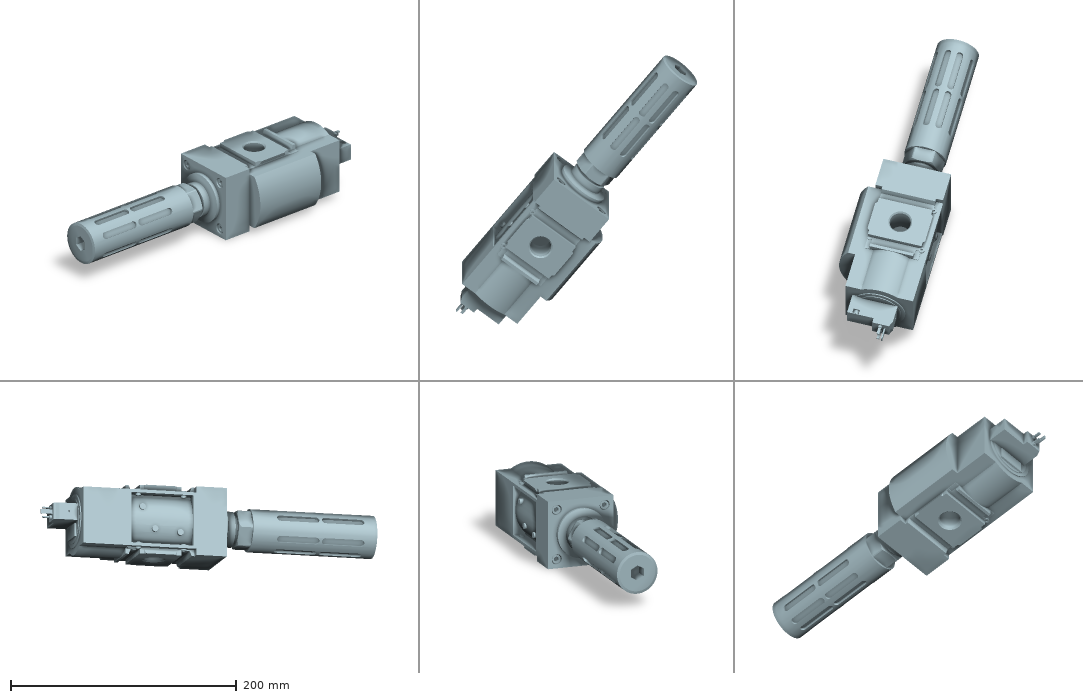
import cadquery as cq
import math


half_width = 31.0
front_plate_end = 27.7
block_end = 131.5
section_end = 98.0
side_half_height = 25.5
dome_radius = 30.5
clamp_end = 89.8

cover_flat_x = 37.5
cover_crest_x = 45.8

bed_half_width = 24.5
bed_height = 26.8
lip_top_y = 30.5
lip_root_y = 32.3
rear_lip_top_y = 87.0
rear_lip_root_y = 85.2
rear_lip_half_width = 20.0
notch_height = 26.0
notch_front = 80.5
plate_front = 39.7
plate_back = 78.0
plate_wing_half_width = 26.5
plate_wing_root_height = 27.5
plate_wing_front = 44.3
plate_wing_back = 74.0
plate_wing_corner = 1.5
port_y = 58.7
port_diameter = 18.8
port_depth = 24.5
port_chamfer = 1.2

clip_ys = (38.0, 79.5)
clip_x = -25.2
clip_diameter = 5.0
clip_top = 27.0
clip_tip = 21.2
clip_socket_diameter = 2.5
clip_socket_depth = 1.5

pocket_front = 30.5
pocket_back = 87.3
pocket_half_height = 22.8
barrel_radius = 29.0
barrel_half_height = 21.0
peg_diameter = 5.5
peg_tip_x = -29.5
peg_places = ((76.5, 10.8), (65.2, -8.5), (41.8, -10.8))

screw_offset = 22.8
screw_bore_diameter = 9.5
screw_head_diameter = 8.0
screw_socket_flats = 4.3
screw_bore_depth = 6.0
screw_head_gap = 1.0
screw_socket_depth = 3.0

collar_diameter = 45.8
collar_rim_y = -3.5
neck_radius = 16.0
neck_start_y = -5.5
neck_end_y = -12.3

plug_left = -17.2
plug_right = 24.5
plug_step_x = 0.3
plug_top_y = 154.7
plug_step_y = 150.0
plug_height = 15.0
plug_z = 5.2
plug_corner_run = 2.0
plug_corner_rise = 5.0
plug_bevel_run = 0.5
plug_bevel_rise = 1.8
plug_dimple_y = 141.0
plug_dimple_diameter = 2.0
plug_dimple_depth = 1.5
plug_window_left = 14.0
plug_window_width = 5.8
plug_window_front = 145.0
plug_window_length = 4.3
plug_window_depth = 3.7
plug_screw_diameter = 5.0
plug_screw_length = 3.5
rear_pad_radius = 24.0
rear_pad_thickness = 1.0
rear_step_radius = 20.3
rear_step_thickness = 1.5
rear_key_half_width = 12.3
rear_key_bottom = -16.0
rear_key_top = -4.3
rear_key_thickness = 3.0
earth_pin_x = -11.0
earth_pin_end = 165.5
side_pin_x = -7.0
side_pin_end = 163.0
side_pin_spacing = 8.3
pin_width = 4.0
side_pin_width = 2.5
pin_thickness = 1.2
pin_foot_diameter = 3.7
pin_foot_height = 1.8

shank_radius = 12.5
hex_start_y = -15.0
hex_flats = 32.0
hex_corner_radius = 18.0
hex_chamfer = 1.0
tube_start_y = -27.7
tube_end_y = -142.0
tube_diameter = 38.5
tube_rim_run = 0.5
tube_rim_inset = 2.5
slot_front_ys = (-130.0, -89.0)
slot_length = 38.7
slot_width = 6.0
slot_floor_radius = 16.5
slot_angles = (30, 73, 107, 150)
socket_flats = 12.3
socket_depth = 12.3


def box(x0, x1, y0, y1, z0, z1):
    """Axis-aligned block between the given limits."""
    return cq.Workplane("XY").box(x1 - x0, y1 - y0, z1 - z0, centered=False).translate((x0, y0, z0))


def rod_y(radius, y0, y1, x=0.0, z=0.0):
    """Round bar running along Y."""
    return cq.Workplane("XZ", origin=(x, y0, z)).circle(radius).extrude(y0 - y1)


def rod_x(radius, x0, x1, y, z):
    """Round bar running along X."""
    return cq.Workplane("YZ", origin=(x0, y, z)).circle(radius).extrude(x1 - x0)


def rod_z(radius, z0, z1, x, y):
    """Round bar running along Z."""
    return cq.Workplane("XY", origin=(x, y, z0)).circle(radius).extrude(z1 - z0)


def hex_bar_y(flats, y0, y1, x=0.0, z=0.0, turn=0.0):
    """Hexagonal bar running along Y; two corners lie on the Z direction before turning."""
    bar = cq.Workplane("XZ").polygon(6, flats, circumscribed=True).extrude(y0 - y1)
    return bar.rotate((0, 0, 0), (0, 1, 0), turn).translate((x, y0, z))


def turned(profile):
    """Solid of revolution about Y from (radius, y) points."""
    return cq.Workplane("XY").polyline(profile).close().revolve(360, (0, 0, 0), (0, 1, 0))


def both_sides(shape):
    """The shape together with its mirror image below the flow axis."""
    return shape.union(shape.mirror("XY"))


def make_block():
    front = box(-half_width, half_width, 0, front_plate_end, -half_width, half_width)
    rear = box(-half_width, half_width, 0, block_end, -side_half_height, side_half_height)
    dome = rod_y(dome_radius, clamp_end, block_end)
    cover = (
        cq.Workplane("XZ", origin=(0, front_plate_end, 0))
        .moveTo(0, -side_half_height)
        .lineTo(cover_flat_x, -side_half_height)
        .threePointArc((cover_crest_x, 0), (cover_flat_x, side_half_height))
        .lineTo(0, side_half_height)
        .close()
        .extrude(front_plate_end - section_end)
    )
    return front.union(rear).union(dome).union(cover)


def make_notch(side):
    """Space beside the rear lip, on the given X side."""
    notch = box(rear_lip_half_width, bed_half_width, notch_front, clamp_end, notch_height, half_width)
    return notch if side > 0 else notch.mirror("YZ")


def make_wing(side):
    """Rib along the port plate, undercut below and tapered in plan at both ends."""
    wing = (
        cq.Workplane("XZ", origin=(0, plate_wing_front, 0))
        .polyline([
            (0, plate_wing_root_height),
            (bed_half_width, plate_wing_root_height),
            (plate_wing_half_width, half_width),
            (0, half_width),
        ])
        .close()
        .extrude(plate_wing_front - plate_wing_back)
    )
    plan = (
        cq.Workplane("XY")
        .polyline([
            (0, plate_wing_front),
            (bed_half_width, plate_wing_front),
            (plate_wing_half_width, plate_wing_front + plate_wing_corner),
            (plate_wing_half_width, plate_wing_back - plate_wing_corner),
            (bed_half_width, plate_wing_back),
            (0, plate_wing_back),
        ])
        .close()
        .extrude(half_width)
    )
    wing = wing.intersect(plan)
    return wing if side > 0 else wing.mirror("YZ")


def make_clamp_bed():
    bed = (
        cq.Workplane("YZ", origin=(-bed_half_width, 0, 0))
        .polyline([
            (front_plate_end, 0),
            (front_plate_end, half_width),
            (lip_top_y, half_width),
            (lip_root_y, bed_height),
            (rear_lip_root_y, bed_height),
            (rear_lip_top_y, half_width),
            (clamp_end, half_width),
            (clamp_end, 0),
        ])
        .close()
        .extrude(2 * bed_half_width)
    )
    plate = box(-bed_half_width, bed_half_width, plate_front, plate_back, 0, half_width)
    for side in (-1, 1):
        bed = bed.cut(make_notch(side))
        plate = plate.union(make_wing(side))
    return both_sides(bed.union(plate))


def fit_clips(solid):
    socket_radius = clip_socket_diameter / 2
    for y in clip_ys:
        clip = rod_z(clip_diameter / 2, clip_tip, clip_top, clip_x, y)
        top_socket = rod_z(socket_radius, clip_top - clip_socket_depth, clip_top, clip_x, y)
        tip_socket = rod_z(socket_radius, clip_tip, clip_tip + clip_socket_depth, clip_x, y)
        solid = solid.union(both_sides(clip)).cut(both_sides(top_socket.union(tip_socket)))
    return solid


def make_ports():
    radius = port_diameter / 2
    port = (
        cq.Workplane("XY", origin=(0, port_y, half_width - port_depth)).circle(radius).extrude(port_depth)
    )
    flare = (
        cq.Workplane("XY", origin=(0, port_y, half_width - port_chamfer))
        .circle(radius)
        .workplane(offset=port_chamfer)
        .circle(radius + port_chamfer)
        .loft()
    )
    return both_sides(port.union(flare))


def make_pocket():
    barrel_edge_x = -math.sqrt(barrel_radius**2 - barrel_half_height**2)
    recess = box(
        -half_width, barrel_edge_x, pocket_front, pocket_back, -pocket_half_height, pocket_half_height
    )
    pocket = recess.cut(rod_y(barrel_radius, pocket_front, pocket_back))
    for y, z in peg_places:
        pocket = pocket.cut(rod_x(peg_diameter / 2, peg_tip_x, 0, y, z))
    return pocket


def make_screw_recesses():
    recesses = cq.Workplane("XY")
    for x in (-screw_offset, screw_offset):
        for z in (-screw_offset, screw_offset):
            bore = rod_y(screw_bore_diameter / 2, 0, screw_bore_depth, x, z)
            head = rod_y(screw_head_diameter / 2, screw_head_gap, screw_bore_depth, x, z)
            socket = hex_bar_y(
                screw_socket_flats, screw_head_gap, screw_head_gap + screw_socket_depth, x, z
            )
            recesses = recesses.union(bore.cut(head.cut(socket)))
    return recesses


def make_outlet():
    return turned([
        (0, 0),
        (collar_diameter / 2, 0),
        (collar_diameter / 2, collar_rim_y),
        (neck_radius, neck_start_y),
        (neck_radius, neck_end_y),
        (0, neck_end_y),
    ])


def make_plug():
    plug_bottom_z = plug_z - plug_height / 2
    plug_top_z = plug_z + plug_height / 2
    plug = (
        cq.Workplane("XY", origin=(0, 0, plug_bottom_z))
        .polyline([
            (plug_left, block_end),
            (plug_right, block_end),
            (plug_right, plug_step_y),
            (plug_step_x, plug_step_y),
            (plug_step_x, plug_top_y),
            (plug_left + plug_corner_run, plug_top_y),
            (plug_left + plug_corner_run - plug_bevel_run, plug_top_y - plug_bevel_rise),
            (plug_left, plug_top_y - plug_corner_rise),
        ])
        .close()
        .extrude(plug_height)
    )
    dimple = rod_x(
        plug_dimple_diameter / 2, plug_left, plug_left + plug_dimple_depth, plug_dimple_y, plug_z
    )
    window = box(
        plug_window_left, plug_window_left + plug_window_width,
        plug_window_front, plug_window_front + plug_window_length,
        plug_top_z - plug_window_depth, plug_top_z,
    )
    screw = rod_y(
        plug_screw_diameter / 2,
        plug_window_front, plug_window_front + plug_screw_length,
        plug_window_left + plug_window_width / 2, plug_top_z - plug_window_depth,
    )
    pad = rod_y(rear_pad_radius, block_end, block_end + rear_pad_thickness)
    step = rod_y(rear_step_radius, block_end, block_end + rear_step_thickness)
    key = box(
        -rear_key_half_width, rear_key_half_width,
        block_end, block_end + rear_key_thickness,
        rear_key_bottom, rear_key_top,
    )
    return plug.cut(dimple).cut(window).union(screw).union(pad).union(step).union(key)


def make_pins():
    pins = box(
        earth_pin_x - pin_thickness / 2, earth_pin_x + pin_thickness / 2,
        plug_top_y, earth_pin_end,
        plug_z - pin_width / 2, plug_z + pin_width / 2,
    )
    for z in (plug_z - side_pin_spacing / 2, plug_z + side_pin_spacing / 2):
        blade = box(
            side_pin_x - side_pin_width / 2, side_pin_x + side_pin_width / 2,
            plug_top_y, side_pin_end,
            z - pin_thickness / 2, z + pin_thickness / 2,
        )
        foot = rod_y(pin_foot_diameter / 2, plug_top_y, plug_top_y + pin_foot_height, side_pin_x, z)
        pins = pins.union(blade).union(foot)
    return pins


def make_valve():
    solid = make_block().union(make_clamp_bed()).union(make_outlet())
    solid = solid.union(make_plug()).union(make_pins())
    solid = solid.cut(make_ports()).cut(make_pocket()).cut(make_screw_recesses())
    return fit_clips(solid)


def make_tube_slot(front_y, angle):
    """Obround cutter across the tube wall, turned about Y from +X toward +Z."""
    cutter = (
        cq.Workplane("YZ", origin=(slot_floor_radius, front_y + slot_length / 2, 0))
        .slot2D(slot_length, slot_width)
        .extrude(tube_diameter / 2)
    )
    return cutter.rotate((0, 0, 0), (0, 1, 0), -angle)


def make_silencer():
    tube_radius = tube_diameter / 2
    tube = turned([
        (0, tube_start_y),
        (tube_radius, tube_start_y),
        (tube_radius, tube_end_y + tube_rim_run),
        (tube_radius - tube_rim_inset, tube_end_y),
        (0, tube_end_y),
    ])
    for front_y in slot_front_ys:
        for angle in slot_angles:
            tube = tube.cut(make_tube_slot(front_y, angle)).cut(make_tube_slot(front_y, -angle))
    hex_envelope = turned([
        (0, hex_start_y),
        (hex_corner_radius - 2 * hex_chamfer, hex_start_y),
        (hex_corner_radius, hex_start_y - hex_chamfer),
        (hex_corner_radius, tube_start_y),
        (0, tube_start_y),
    ])
    hexagon = hex_bar_y(hex_flats, tube_start_y, hex_start_y, turn=30).intersect(hex_envelope)
    shank = rod_y(shank_radius, tube_start_y, neck_end_y)
    socket = hex_bar_y(socket_flats, tube_end_y, tube_end_y + socket_depth)
    return tube.union(hexagon).union(shank).cut(socket)


valve = make_valve()
silencer = make_silencer()

result = cq.Compound.makeCompound([valve.val(), silencer.val()])